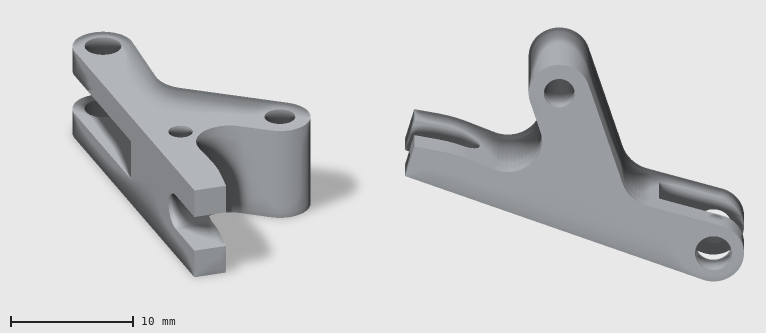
import cadquery as cq
import math

overall_length = 28.5
overall_width = 15.0
thickness = 8.0
clevis_hole_diameter = 3.0
arm_hole_diameter = 2.5
arm_x = 16.0
arm_y = 10.0
eye_radius = (overall_width - arm_y) / 2
arm_angle = math.radians(56)

tail_x = overall_length - eye_radius
tail_bottom_y = -0.5
tail_top_y = 2.2
crown_x = 22.8
crown_y = eye_radius
crown_angle = math.radians(6.5)
crown_radius = 11.4
left_root_radius = 3.0
right_root_radius = 2.76

clevis_gap = 3.5
clevis_wall_top_x = 5.35
clevis_wall_angle = math.radians(30)

tail_slot_width = 3.1
tail_slot_depth = 5.55

drill_diameter = 2.0
drill_y = 1.5
drill_depth = thickness / 2
drill_point_angle = math.radians(118)

cut_margin = 1.42


def make_body():
    """Extrude the lever outline, then round its two arm roots and its crown."""
    side_x = eye_radius * math.sin(arm_angle)
    side_y = eye_radius * math.cos(arm_angle)
    slope = math.tan(arm_angle)
    arm_left = (arm_x - side_x, arm_y + side_y)
    arm_right = (arm_x + side_x, arm_y - side_y)
    arm_tip = (arm_x + eye_radius * math.cos(arm_angle), arm_y + eye_radius * math.sin(arm_angle))

    left_root = (arm_left[0] - (arm_left[1] - eye_radius) / slope, eye_radius)
    tail_slope = math.tan(crown_angle)
    right_root_rise = crown_y - arm_right[1] + slope * arm_right[0] - tail_slope * crown_x
    right_root_x = right_root_rise / (slope - tail_slope)
    right_root = (right_root_x, crown_y + tail_slope * (right_root_x - crown_x))

    body = (
        cq.Workplane("XY")
        .workplane(offset=-thickness / 2)
        .moveTo(0, -eye_radius)
        .lineTo(tail_x, tail_bottom_y)
        .lineTo(tail_x, tail_top_y)
        .lineTo(crown_x, crown_y)
        .lineTo(*right_root)
        .lineTo(*arm_right)
        .threePointArc(arm_tip, arm_left)
        .lineTo(*left_root)
        .lineTo(0, eye_radius)
        .threePointArc((-eye_radius, 0), (0, -eye_radius))
        .close()
        .extrude(thickness)
    )
    corner_radii = (
        (left_root, left_root_radius),
        (right_root, right_root_radius),
        ((crown_x, crown_y), crown_radius),
    )
    for (x, y), radius in corner_radii:
        body = body.edges(cq.NearestToPointSelector((x, y, 0))).fillet(radius)
    return body


def through_hole(x, y, diameter):
    return cq.Workplane("XY").center(x, y).circle(diameter / 2).extrude(thickness, both=True)


def clevis_gap_cutter():
    top_y = eye_radius + cut_margin
    bottom_y = -top_y
    run = 1 / math.tan(clevis_wall_angle)
    left_x = -eye_radius - cut_margin
    wall_top = (clevis_wall_top_x - cut_margin * run, top_y)
    wall_bottom = (clevis_wall_top_x + (eye_radius - bottom_y) * run, bottom_y)
    return (
        cq.Workplane("XY")
        .polyline([(left_x, bottom_y), wall_bottom, wall_top, (left_x, top_y)])
        .close()
        .extrude(clevis_gap / 2, both=True)
    )


def tail_slot_cutter():
    half_width = tail_slot_width / 2
    slot_end_x = tail_x - tail_slot_depth
    arc_center_x = slot_end_x + half_width
    return (
        cq.Workplane("XZ")
        .moveTo(tail_x + cut_margin, -half_width)
        .lineTo(arc_center_x, -half_width)
        .threePointArc((slot_end_x, 0), (arc_center_x, half_width))
        .lineTo(tail_x + cut_margin, half_width)
        .close()
        .extrude(overall_length, both=True)
    )


def drilled_hole_cutter():
    radius = drill_diameter / 2
    top_z = thickness / 2
    floor_z = top_z - drill_depth
    point_z = floor_z - radius / math.tan(drill_point_angle / 2)
    return (
        cq.Workplane("XZ")
        .polyline([(0, top_z), (radius, top_z), (radius, floor_z), (0, point_z)])
        .close()
        .revolve(360, (0, 0), (0, 1))
        .translate((arm_x, drill_y, 0))
    )


result = (
    make_body()
    .cut(through_hole(0, 0, clevis_hole_diameter))
    .cut(through_hole(arm_x, arm_y, arm_hole_diameter))
    .cut(clevis_gap_cutter())
    .cut(tail_slot_cutter())
    .cut(drilled_hole_cutter())
)